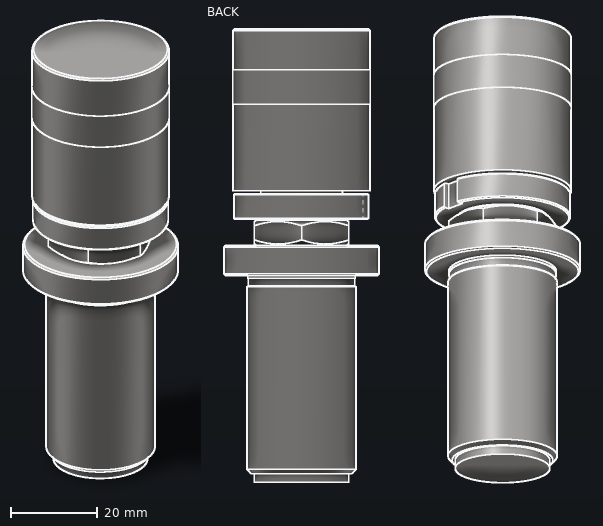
import cadquery as cq
import math

SPIGOT_TOP = 2.0
BARREL_CHAMFER_TOP = 3.0
BARREL_TOP = 45.7
SHOULDER_BOTTOM = 47.3
FLANGE_BOTTOM = 47.9
FLANGE_TOP = 55.0
HEX_TOP = 60.7
COLLAR_BOTTOM = 61.0
COLLAR_TOP = 67.0
CAP_BOTTOM = 67.6
BAND_BOTTOM = 87.7
BAND_TOP = 95.6
OVERALL_HEIGHT = 105.1

SPIGOT_DIAMETER = 22.0
BARREL_DIAMETER = 25.3
BARREL_END_DIAMETER = 23.3
RELIEF_DIAMETER = 24.8
SHOULDER_DIAMETER = 25.0
FLANGE_DIAMETER = 36.0
HEX_END_DIAMETER = 21.0
COLLAR_DIAMETER = 31.4
NECK_DIAMETER = 19.0
CAP_DIAMETER = 31.8
BAND_DIAMETER = 32.0

HEX_ACROSS_FLATS = 22.0
HEX_CHAMFER_ANGLE = math.radians(30)
ENVELOPE_CLEARANCE = 0.2
BARREL_TOP_CHAMFER = 0.4
FLANGE_CHAMFER = 0.4
COLLAR_CHAMFER = 0.3
CAP_CHAMFER = 0.4
SLOT_WIDTH = 4.8
SLOT_DEPTH = 1.6


def cylinder(diameter, bottom, top):
    """Return a cylinder on the Z axis between two heights."""
    return cq.Workplane("XY").workplane(offset=bottom).circle(diameter / 2).extrude(top - bottom)


def cone(bottom_diameter, top_diameter, bottom, top):
    """Return a truncated cone on the Z axis between two heights."""
    section = cq.Workplane("XY").workplane(offset=bottom).circle(bottom_diameter / 2)
    return section.workplane(offset=top - bottom).circle(top_diameter / 2).loft()


def make_barrel():
    """Lower barrel with its end spigot, tapered end, relief and shoulder below the flange."""
    spigot = cylinder(SPIGOT_DIAMETER, 0, SPIGOT_TOP)
    taper = cone(BARREL_END_DIAMETER, BARREL_DIAMETER, SPIGOT_TOP, BARREL_CHAMFER_TOP)
    shaft = cylinder(BARREL_DIAMETER, BARREL_CHAMFER_TOP, BARREL_TOP)
    shaft = shaft.faces(">Z").edges().chamfer(BARREL_TOP_CHAMFER)
    relief = cylinder(RELIEF_DIAMETER, BARREL_TOP - BARREL_TOP_CHAMFER, SHOULDER_BOTTOM)
    shoulder = cylinder(SHOULDER_DIAMETER, SHOULDER_BOTTOM, FLANGE_BOTTOM)
    return spigot.union(taper).union(shaft).union(relief).union(shoulder)


def make_flange():
    """Wide disc with both rims chamfered."""
    return cylinder(FLANGE_DIAMETER, FLANGE_BOTTOM, FLANGE_TOP).edges().chamfer(FLANGE_CHAMFER)


def make_hexagon():
    """Hexagon with two corners on the Y axis and both ends turned to a cone, with a short stem above."""
    corner_diameter = HEX_ACROSS_FLATS / math.cos(math.pi / 6)
    height = HEX_TOP - FLANGE_TOP
    prism = cq.Workplane("XY").workplane(offset=FLANGE_TOP).polygon(6, corner_diameter).extrude(height)
    prism = prism.rotate((0, 0, 0), (0, 0, 1), 30)
    envelope_diameter = corner_diameter + ENVELOPE_CLEARANCE
    cone_height = (envelope_diameter - HEX_END_DIAMETER) / 2 * math.tan(HEX_CHAMFER_ANGLE)
    lower_rim = FLANGE_TOP + cone_height
    upper_rim = HEX_TOP - cone_height
    envelope = cone(HEX_END_DIAMETER, envelope_diameter, FLANGE_TOP, lower_rim)
    envelope = envelope.union(cylinder(envelope_diameter, lower_rim, upper_rim))
    envelope = envelope.union(cone(envelope_diameter, HEX_END_DIAMETER, upper_rim, HEX_TOP))
    stem = cylinder(HEX_END_DIAMETER, HEX_TOP, COLLAR_BOTTOM)
    return prism.intersect(envelope).union(stem)


def make_collar():
    """Chamfered disc with an axial slot across its -X side."""
    collar = cylinder(COLLAR_DIAMETER, COLLAR_BOTTOM, COLLAR_TOP).edges().chamfer(COLLAR_CHAMFER)
    slot = cq.Workplane("XY").workplane(offset=COLLAR_BOTTOM).center(-COLLAR_DIAMETER / 2, 0)
    slot = slot.rect(2 * SLOT_DEPTH, SLOT_WIDTH).extrude(COLLAR_TOP - COLLAR_BOTTOM)
    return collar.cut(slot)


def make_cap():
    """Upper cap with a slightly raised band and a chamfered top rim."""
    lower = cylinder(CAP_DIAMETER, CAP_BOTTOM, BAND_BOTTOM)
    band = cylinder(BAND_DIAMETER, BAND_BOTTOM, BAND_TOP)
    upper = cylinder(CAP_DIAMETER, BAND_TOP, OVERALL_HEIGHT)
    upper = upper.faces(">Z").edges().chamfer(CAP_CHAMFER)
    return lower.union(band).union(upper)


neck = cylinder(NECK_DIAMETER, COLLAR_TOP, CAP_BOTTOM)
result = make_barrel().union(make_flange()).union(make_hexagon())
result = result.union(make_collar()).union(neck).union(make_cap())